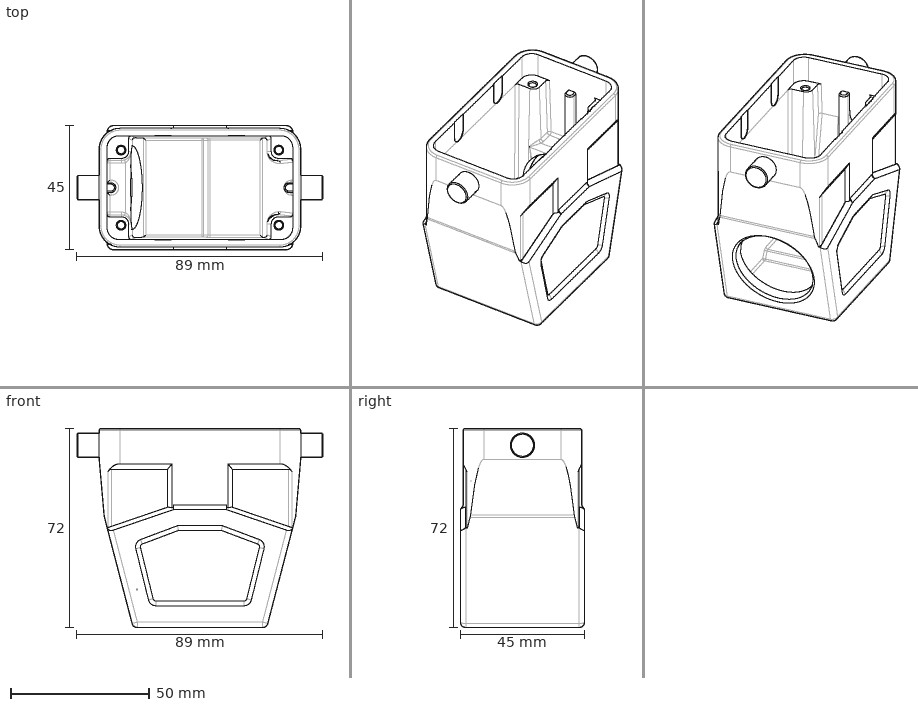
import cadquery as cq
import math

HEIGHT = 72.0
COLLAR_LENGTH = 73.0
COLLAR_WIDTH = 43.0
COLLAR_CORNER_RADIUS = 7.6
RIM_EDGE_RADIUS = 0.7

TAPER_START_Z = 60.9
TAPER_BREAK_Z = 40.3
TAPER_BREAK_HALF_LENGTH = 34.7
BASE_HALF_LENGTH = 24.2
TAPER_BREAK_RADIUS = 5.0
END_SLOPE = (TAPER_BREAK_HALF_LENGTH - BASE_HALF_LENGTH) / TAPER_BREAK_Z
END_ANGLE = math.degrees(math.atan(END_SLOPE))

BLOCK_WIDTH = 45.0
BLOCK_EDGE_RADIUS = 2.0
BLOCK_PEAK_Z = 44.3
BLOCK_PEAK_HALF_LENGTH = 9.6
BLOCK_SHOULDER_Z = 36.1
BLOCK_SLOPE_CHAMFER_Y = 1.9
BLOCK_PEAK_CHAMFER_Y = (BLOCK_WIDTH - COLLAR_WIDTH) / 2
BLOCK_CHAMFER_Z = 1.6

PANEL_INNER_X = 10.1
PANEL_TOP_Z = 59.3
PANEL_DEPTH = 1.0
PANEL_INNER_WALL_RUN = 1.6
PANEL_TOP_WALL_RUN = 2.0
PANEL_BOTTOM_Z = 28.0
PANEL_CORNER_BLEND_RADIUS = 2.0

LABEL_DEPTH = 1.0
LABEL_WALL_ANGLE = 60.0
LABEL_CORNER_RADIUS = 2.8
LABEL_PEAK = (8.1, 36.9)
LABEL_SHOULDER = (23.8, 31.0)
LABEL_BASE = (18.1, 7.9)

PIN_DIAMETER = 8.8
PIN_SPAN = 89.0
PIN_Z = 66.0
PIN_EDGE_CHAMFER = 0.4

MOUTH_LENGTH = 67.2
MOUTH_WIDTH = 37.5
MOUTH_CORNER_RADIUS = 4.2
MOUTH_FLOOR_Z = 62.2
CAVITY_FLOOR_WIDTH = 35.8
FLOOR_Z = 3.9
RAISED_FLOOR_Z = 7.1
FLOOR_STEP_START_X = 1.1
FLOOR_STEP_END_X = 3.2
RAISED_FLOOR_END_X = 22.4
CABLE_FLOOR_END_X = -20.2
CABLE_WALL_X = -25.0
LEDGE_Z = 38.0
LEDGE_EDGE_RADIUS = 2.0
FLOOR_EDGE_RADIUS = 0.8
ROOT_RADIUS = 1.0

POST_X = 28.55
POST_Y = 13.6
POST_INNER_X = 25.8
POST_INNER_Y = 10.6
POST_EDGE_RADIUS = 2.5
POST_DRAFT = 1.8
SCREW_HOLE_DIAMETER = 2.7
SCREW_HOLE_MOUTH_DIAMETER = 3.5
SCREW_HOLE_DEPTH = 15.0

RIB_DIAMETER = 3.5
RIB_X = 32.2
RIB_TOP_Z = 61.3
RIB_TOP_CHAMFER = 0.5

GROOVE_X = 13.3
GROOVE_WIDTH = 5.8
GROOVE_DEPTH = 0.2
GROOVE_BOTTOM_Z = 61.8

ENTRY_DIAMETER = 30.4
ENTRY_CHAMFER = 1.0
ENTRY_CENTRE_Z = 19.9
ENTRY_DEPTH = 12.0

OVERSHOOT = 5.0
SIDES = (-1, 1)


def round_edges(body, points, radius):
    """Fillet the edges whose midpoints lie nearest to the given points."""
    nearest = [body.edges(cq.selectors.NearestToPointSelector(point)).val() for point in points]
    return body.newObject(nearest).fillet(radius)


def prism_along_y(points, width):
    """Closed XZ outline extruded symmetrically about the XZ plane."""
    return cq.Workplane("XZ").polyline(points).close().extrude(width / 2, both=True)


def symmetric_outline(right_points):
    """Close a right-hand XZ chain with its mirror image."""
    return right_points + [(-x, z) for x, z in reversed(right_points)]


def end_half_length(z):
    """Half length of the lower sloping end faces at height z."""
    return BASE_HALF_LENGTH + END_SLOPE * z


def for_both_long_sides(feature):
    """A feature on the -Y side together with its mirror image on +Y."""
    return feature.union(feature.mirror("XZ"))


def rectangle(start_x, end_x, bottom_z, top_z):
    """Corner points of an XZ rectangle."""
    return [(start_x, bottom_z), (end_x, bottom_z), (end_x, top_z), (start_x, top_z)]


def make_corner_panels():
    """Cutter for the four corner panels, walled by slopes at the top and inner side."""
    outer_x = COLLAR_LENGTH / 2 + OVERSHOOT
    floor_inner_x = PANEL_INNER_X + PANEL_INNER_WALL_RUN
    floor_top_z = PANEL_TOP_Z - PANEL_TOP_WALL_RUN
    panels = cq.Workplane("XY")
    for side in SIDES:
        panel = (
            cq.Workplane("XZ", origin=(0, -COLLAR_WIDTH / 2, 0))
            .polyline(rectangle(side * PANEL_INNER_X, side * outer_x, PANEL_BOTTOM_Z, PANEL_TOP_Z))
            .close()
            .workplane(offset=-PANEL_DEPTH)
            .polyline(rectangle(side * floor_inner_x, side * outer_x, PANEL_BOTTOM_Z, floor_top_z))
            .close()
            .loft(ruled=True)
        )
        panels = panels.union(panel)
    return for_both_long_sides(panels)


def make_collar():
    """Rounded upper body with tapered ends, rounded rim and corner panels."""
    collar = (
        cq.Workplane("XY", origin=(0, 0, PANEL_BOTTOM_Z))
        .rect(COLLAR_LENGTH, COLLAR_WIDTH)
        .extrude(HEIGHT - PANEL_BOTTOM_Z)
        .edges("|Z")
        .fillet(COLLAR_CORNER_RADIUS)
        .faces(">Z")
        .edges()
        .fillet(RIM_EDGE_RADIUS)
    )
    half_length = COLLAR_LENGTH / 2
    envelope = prism_along_y(
        symmetric_outline(
            [
                (end_half_length(PANEL_BOTTOM_Z), PANEL_BOTTOM_Z),
                (TAPER_BREAK_HALF_LENGTH, TAPER_BREAK_Z),
                (half_length, TAPER_START_Z),
                (half_length, HEIGHT),
            ]
        ),
        BLOCK_WIDTH,
    )
    break_edges = cq.selectors.BoxSelector(
        (-COLLAR_LENGTH, -BLOCK_WIDTH, TAPER_BREAK_Z - 1),
        (COLLAR_LENGTH, BLOCK_WIDTH, TAPER_BREAK_Z + 1),
    )
    envelope = envelope.edges("|Y").edges(break_edges).fillet(TAPER_BREAK_RADIUS)
    collar = collar.intersect(envelope).cut(make_corner_panels())

    floor_y = COLLAR_WIDTH / 2 - PANEL_DEPTH
    arc_centre_x = half_length - COLLAR_CORNER_RADIUS
    arc_centre_y = COLLAR_WIDTH / 2 - COLLAR_CORNER_RADIUS
    edge_x = arc_centre_x + math.sqrt(COLLAR_CORNER_RADIUS**2 - (floor_y - arc_centre_y) ** 2)
    edge_z = (PANEL_TOP_Z + BLOCK_SHOULDER_Z) / 2
    points = [(x * edge_x, y * floor_y, edge_z) for x in SIDES for y in SIDES]
    return round_edges(collar, points, PANEL_CORNER_BLEND_RADIUS)


def make_bevel(start, end, chamfer_y):
    """Cutter bevelling the -Y top edge of the block between two XZ points."""
    outer_y = -BLOCK_WIDTH / 2
    section = [
        (outer_y, -BLOCK_CHAMFER_Z),
        (outer_y + chamfer_y, 0),
        (outer_y + chamfer_y, OVERSHOOT),
        (outer_y - OVERSHOOT, OVERSHOOT),
        (outer_y - OVERSHOOT, -BLOCK_CHAMFER_Z),
    ]
    corners = [cq.Vector(start[0], y, start[1] + z) for y, z in section]
    direction = cq.Vector(end[0] - start[0], 0, end[1] - start[1])
    wire = cq.Wire.makePolygon(corners, close=True)
    return cq.Workplane(cq.Solid.extrudeLinear(wire, [], direction))


def make_block():
    """Wider lower block with rounded edges and a chamfered peaked top."""
    shoulder = (end_half_length(BLOCK_SHOULDER_Z), BLOCK_SHOULDER_Z)
    peak = (BLOCK_PEAK_HALF_LENGTH, BLOCK_PEAK_Z)
    block = prism_along_y(symmetric_outline([(BASE_HALF_LENGTH, 0), shoulder, peak]), BLOCK_WIDTH)

    corner_edges = cq.selectors.BoxSelector(
        (-COLLAR_LENGTH, -BLOCK_WIDTH, -1),
        (COLLAR_LENGTH, BLOCK_WIDTH, BLOCK_SHOULDER_Z / 2 + 1),
    )
    block = block.edges(corner_edges).fillet(BLOCK_EDGE_RADIUS)

    top_slope = (BLOCK_SHOULDER_Z - BLOCK_PEAK_Z) / (shoulder[0] - peak[0])
    run_x = COLLAR_LENGTH / 2
    run_z = BLOCK_PEAK_Z + top_slope * (run_x - peak[0])
    mirrored_peak = (-peak[0], peak[1])
    stretches = [
        ((-run_x, run_z), mirrored_peak, BLOCK_SLOPE_CHAMFER_Y),
        (mirrored_peak, peak, BLOCK_PEAK_CHAMFER_Y),
        (peak, (run_x, run_z), BLOCK_SLOPE_CHAMFER_Y),
    ]
    for start, end, chamfer_y in stretches:
        block = block.cut(for_both_long_sides(make_bevel(start, end, chamfer_y)))
    return block


def make_label_pockets():
    """Cutter for the sloped-wall label pockets."""
    corners = symmetric_outline([LABEL_BASE, LABEL_SHOULDER, LABEL_PEAK])
    outline = (
        cq.Sketch()
        .polygon(corners + corners[:1])
        .vertices("<X or >X or <Y")
        .fillet(LABEL_CORNER_RADIUS)
    )
    pocket = (
        cq.Workplane("XZ", origin=(0, -BLOCK_WIDTH / 2, 0))
        .placeSketch(outline)
        .extrude(-LABEL_DEPTH, taper=LABEL_WALL_ANGLE)
    )
    return for_both_long_sides(pocket)


def make_pins():
    """Locking pins, one outside each end wall."""
    root_x = (MOUTH_LENGTH + COLLAR_LENGTH) / 4
    pins = cq.Workplane("XY")
    for side in SIDES:
        pin = (
            cq.Workplane("YZ", origin=(side * root_x, 0, PIN_Z))
            .circle(PIN_DIAMETER / 2)
            .extrude(side * (PIN_SPAN / 2 - root_x))
            .faces(">X" if side > 0 else "<X")
            .chamfer(PIN_EDGE_CHAMFER)
        )
        pins = pins.union(pin)
    return pins


def make_mouth():
    """Straight-sided upper part of the cavity."""
    return (
        cq.Workplane("XY", origin=(0, 0, MOUTH_FLOOR_Z))
        .rect(MOUTH_LENGTH, MOUTH_WIDTH)
        .extrude(HEIGHT - MOUTH_FLOOR_Z)
        .edges("|Z")
        .fillet(MOUTH_CORNER_RADIUS)
    )


def slope_z(x):
    """Height of the sloping +X cavity wall at position x."""
    return RAISED_FLOOR_Z + (x - RAISED_FLOOR_END_X) / END_SLOPE


def make_lower_cavity():
    """Stepped-floor lower cavity with drafted long walls."""
    half_length = MOUTH_LENGTH / 2
    cable_wall_z = FLOOR_Z + (CABLE_FLOOR_END_X - CABLE_WALL_X) / END_SLOPE
    profile = prism_along_y(
        [
            (CABLE_FLOOR_END_X, FLOOR_Z),
            (FLOOR_STEP_START_X, FLOOR_Z),
            (FLOOR_STEP_END_X, RAISED_FLOOR_Z),
            (RAISED_FLOOR_END_X, RAISED_FLOOR_Z),
            (half_length, slope_z(half_length)),
            (half_length, MOUTH_FLOOR_Z),
            (-half_length, MOUTH_FLOOR_Z),
            (-half_length, LEDGE_Z),
            (CABLE_WALL_X, LEDGE_Z),
            (CABLE_WALL_X, cable_wall_z),
        ],
        BLOCK_WIDTH,
    )
    ledge_edge = cq.selectors.NearestToPointSelector((CABLE_WALL_X, 0, LEDGE_Z))
    profile = profile.edges("|Y").edges(ledge_edge).fillet(LEDGE_EDGE_RADIUS)

    floor_half = CAVITY_FLOOR_WIDTH / 2
    top_half = MOUTH_WIDTH / 2
    section = (
        cq.Workplane("YZ")
        .polyline(
            [
                (-floor_half, FLOOR_Z),
                (floor_half, FLOOR_Z),
                (top_half, MOUTH_FLOOR_Z),
                (-top_half, MOUTH_FLOOR_Z),
            ]
        )
        .close()
        .extrude(COLLAR_LENGTH / 2, both=True)
    )
    floor_edges = cq.selectors.BoxSelector(
        (-COLLAR_LENGTH, -BLOCK_WIDTH, FLOOR_Z - 1),
        (COLLAR_LENGTH, BLOCK_WIDTH, RAISED_FLOOR_Z + 1),
    )
    return profile.intersect(section).edges(floor_edges).fillet(FLOOR_EDGE_RADIUS)


def make_posts():
    """Drafted corner posts, growing wider toward the floor."""
    length = COLLAR_LENGTH / 2 + OVERSHOOT - POST_INNER_X
    width = COLLAR_WIDTH / 2 + OVERSHOOT - POST_INNER_Y
    outline = cq.Sketch().rect(length, width).vertices().fillet(POST_EDGE_RADIUS)
    posts = cq.Workplane("XY")
    for x_side in SIDES:
        for y_side in SIDES:
            centre = (x_side * (POST_INNER_X + length / 2), y_side * (POST_INNER_Y + width / 2))
            post = (
                cq.Workplane("XY", origin=(*centre, MOUTH_FLOOR_Z))
                .placeSketch(outline)
                .extrude(-(MOUTH_FLOOR_Z - FLOOR_Z), taper=-POST_DRAFT)
            )
            posts = posts.union(post)
    return posts


def make_ribs():
    """Half-round guide ribs backed onto both end walls."""
    ribs = cq.Workplane("XY")
    for side in SIDES:
        rib = (
            cq.Workplane("XY", origin=(side * RIB_X, 0, 0))
            .slot2D(2 * RIB_DIAMETER, RIB_DIAMETER)
            .extrude(RIB_TOP_Z)
            .translate((side * RIB_DIAMETER / 2, 0, 0))
            .faces(">Z")
            .edges()
            .chamfer(RIB_TOP_CHAMFER)
        )
        ribs = ribs.union(rib)
    return ribs


def make_filled_cavity():
    """Lower cavity around the posts and ribs, with rounded roots where they meet its walls."""
    cavity = make_lower_cavity().cut(make_posts()).cut(make_ribs())
    end_x = MOUTH_LENGTH / 2
    wall_y = (CAVITY_FLOOR_WIDTH + MOUTH_WIDTH) / 4
    rib_half = RIB_DIAMETER / 2
    rib_side_x = (RIB_X + end_x) / 2
    post_middle_x = (POST_INNER_X + end_x) / 2
    post_corner_x = POST_INNER_X + POST_EDGE_RADIUS / 2
    upper_z = (slope_z(end_x) + MOUTH_FLOOR_Z) / 2
    rib_tip_x = RIB_X - rib_half
    roots = [(-rib_tip_x, 0, LEDGE_Z), (rib_tip_x, 0, slope_z(rib_tip_x))]
    for side in SIDES:
        roots.append((-rib_side_x, side * rib_half, LEDGE_Z))
        roots.append((-end_x, side * POST_INNER_Y / 2, LEDGE_Z))
        roots.append((-post_middle_x, side * POST_INNER_Y, LEDGE_Z))
        roots.append((-post_corner_x, side * POST_INNER_Y, LEDGE_Z))
        roots.append((rib_side_x, side * rib_half, slope_z(rib_side_x)))
        roots.append((post_middle_x, side * POST_INNER_Y, slope_z(post_middle_x)))
        roots.append((POST_INNER_X, side * POST_INNER_Y, slope_z(POST_INNER_X)))
        inner_x = POST_INNER_X - POST_EDGE_RADIUS / 2
        roots.append((inner_x, side * (POST_Y + POST_EDGE_RADIUS), slope_z(inner_x)))
        for end in SIDES:
            roots.append((end * POST_INNER_X, side * wall_y, LEDGE_Z))
            roots.append((end * end_x, side * POST_INNER_Y, upper_z))
    return round_edges(cavity, roots, ROOT_RADIUS)


def make_grooves():
    """Cutter for round-bottomed guide grooves in the long walls of the mouth."""
    radius = GROOVE_WIDTH / 2
    grooves = cq.Workplane("XY")
    for side in SIDES:
        groove = (
            cq.Workplane("XZ", origin=(side * GROOVE_X, -MOUTH_WIDTH / 2 - GROOVE_DEPTH, 0))
            .moveTo(-radius, HEIGHT)
            .lineTo(-radius, GROOVE_BOTTOM_Z + radius)
            .threePointArc((0, GROOVE_BOTTOM_Z), (radius, GROOVE_BOTTOM_Z + radius))
            .lineTo(radius, HEIGHT)
            .close()
            .extrude(-2 * GROOVE_DEPTH)
        )
        grooves = grooves.union(groove)
    return for_both_long_sides(grooves)


def make_screw_holes():
    """Cutter for the blind, countersunk screw holes in the posts."""
    countersink = (SCREW_HOLE_MOUTH_DIAMETER - SCREW_HOLE_DIAMETER) / 2
    radius = SCREW_HOLE_DIAMETER / 2
    hole = (
        cq.Workplane("XZ")
        .polyline(
            [
                (0, 0),
                (SCREW_HOLE_MOUTH_DIAMETER / 2, 0),
                (radius, -countersink),
                (radius, -SCREW_HOLE_DEPTH),
                (0, -SCREW_HOLE_DEPTH),
            ]
        )
        .close()
        .revolve(360, (0, 0), (0, 1))
    )
    holes = cq.Workplane("XY")
    for x_side in SIDES:
        for y_side in SIDES:
            holes = holes.union(hole.translate((x_side * POST_X, y_side * POST_Y, MOUTH_FLOOR_Z)))
    return holes


def make_cable_entry():
    """Cutter for the chamfered cable entry through the sloping -X wall."""
    radius = ENTRY_DIAMETER / 2
    entry = (
        cq.Workplane("XY")
        .polyline(
            [
                (0, 0),
                (0, radius + ENTRY_CHAMFER),
                (ENTRY_CHAMFER, radius),
                (ENTRY_DEPTH, radius),
                (ENTRY_DEPTH, 0),
            ]
        )
        .close()
        .revolve(360, (0, 0), (1, 0))
    )
    centre = (-end_half_length(ENTRY_CENTRE_Z), 0, ENTRY_CENTRE_Z)
    return entry.rotate((0, 0, 0), (0, 1, 0), -END_ANGLE).translate(centre)


shell = make_collar().union(make_block())
cavity = make_mouth().union(make_filled_cavity())

result = (
    shell.cut(make_label_pockets())
    .cut(cavity)
    .cut(make_grooves())
    .cut(make_screw_holes())
    .cut(make_cable_entry())
    .union(make_pins())
)